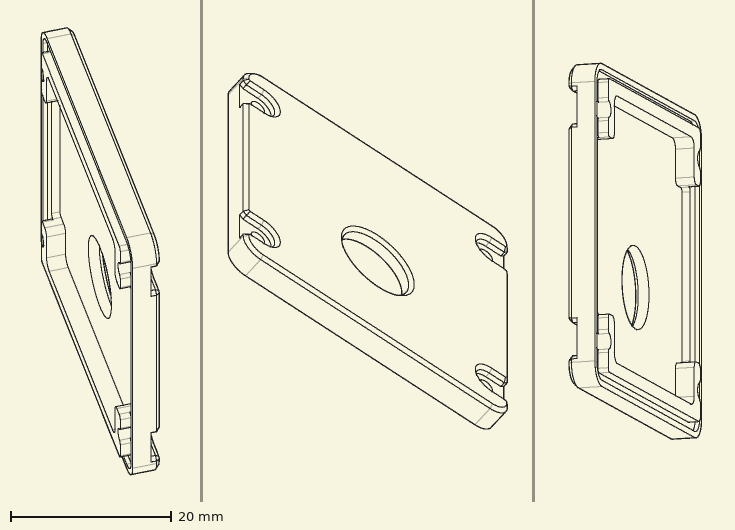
import cadquery as cq
length = 41.8
height = 41.0
total_depth = 4.4
corner_radius = 2.75
edge_chamfer = 0.5

rim_width = 0.8
recess_below_rim = 0.6
ledge_above_rim = 0.8
ledge_half_length = 18.0
ledge_half_height = 18.65
ledge_outer_radius = 0.5
pocket_half_length = 15.65
pocket_half_height = 16.95
pocket_below_rim = 1.67
pocket_corner_radius = 1.2

tab_end_z = 11.25
tab_tip_radius = 0.85
wide_pocket_half_length = 18.2
wide_pocket_corner_radius = 0.5

window_radius = 5.25
window_z = -4.6
screw_x = ledge_half_length
screw_z = 14.7
screw_radius = 1.05
screw_head_radius = 2.1
screw_head_depth = 1.2
mouth_flare = 0.5

front_y = -total_depth / 2
back_y = total_depth / 2
rim_y = front_y + ledge_above_rim
recess_y = rim_y + recess_below_rim
pocket_y = rim_y + pocket_below_rim

half_length = length / 2
selection_margin = 0.05
signs = (-1, 1)
corners = [(side, end) for side in signs for end in signs]


def xz_plane(y):
    """Work plane facing -Y at the given Y level."""
    return cq.Workplane("XZ", origin=(0, y, 0))


def block(half_x, half_z, y_start, y_end, center_z=0):
    """Rectangular block centred on X, between two Y levels."""
    return xz_plane(y_end).center(0, center_z).rect(2 * half_x, 2 * half_z).extrude(y_end - y_start)


def rounded_block(half_x, half_z, y_start, y_end, radius):
    """Block centred on the part, with its four edges along Y rounded."""
    return block(half_x, half_z, y_start, y_end).edges("|Y").fillet(radius)


def pin(radius, x, z, y_start, y_end):
    """Round pin along Y between two Y levels."""
    return xz_plane(y_end).center(x, z).circle(radius).extrude(y_end - y_start)


def screw_head_slot(side, z):
    """Round-ended slot in the back face, open at the plate's side through a flared mouth."""
    flare_x = side * (half_length - mouth_flare)
    mouth_x = side * half_length
    center_x = side * screw_x
    round_end_x = side * (screw_x - screw_head_radius)
    mouth_half_width = screw_head_radius + mouth_flare
    return (
        xz_plane(back_y)
        .moveTo(center_x, z + screw_head_radius)
        .lineTo(flare_x, z + screw_head_radius)
        .lineTo(mouth_x, z + mouth_half_width)
        .lineTo(mouth_x, z - mouth_half_width)
        .lineTo(flare_x, z - screw_head_radius)
        .lineTo(center_x, z - screw_head_radius)
        .threePointArc((round_end_x, z), (center_x, z + screw_head_radius))
        .close()
        .extrude(screw_head_depth)
    )


def ledge(end):
    """C-shaped ledge along the top (end = 1) or bottom (end = -1), notched round the screws."""
    middle_z = end * (ledge_half_height + tab_end_z) / 2
    half_z = (ledge_half_height - tab_end_z) / 2
    body = block(ledge_half_length, half_z, front_y, pocket_y, middle_z)
    for side in signs:
        body = body.cut(pin(screw_radius, side * screw_x, end * screw_z, front_y, pocket_y))
    body = body.edges("|Y").fillet(ledge_outer_radius)
    body = body.cut(
        rounded_block(pocket_half_length, pocket_half_height, front_y, pocket_y, pocket_corner_radius)
    )
    inner_tab_tips = cq.selectors.BoxSelector(
        (-pocket_half_length - selection_margin, front_y, end * tab_end_z - selection_margin),
        (pocket_half_length + selection_margin, pocket_y, end * tab_end_z + selection_margin),
    )
    return body.edges("|Y").edges(inner_tab_tips).fillet(tab_tip_radius)


plate = rounded_block(half_length, height / 2, rim_y, back_y, corner_radius)
plate = plate.cut(pin(window_radius, 0, window_z, rim_y, back_y))
for side, end in corners:
    plate = plate.cut(screw_head_slot(side, end * screw_z))
plate = plate.faces(">Y").edges().chamfer(edge_chamfer)

recess_half_length = half_length - rim_width
recess_half_height = height / 2 - rim_width
recess_radius = corner_radius - rim_width
plate = plate.cut(rounded_block(recess_half_length, recess_half_height, rim_y, recess_y, recess_radius))

cleared_half_length = pocket_half_length + tab_tip_radius
plate = plate.cut(block(cleared_half_length, pocket_half_height, rim_y, pocket_y))
plate = plate.cut(
    rounded_block(wide_pocket_half_length, tab_end_z, rim_y, pocket_y, wide_pocket_corner_radius)
)
for end in signs:
    plate = plate.union(ledge(end))

for side, end in corners:
    plate = plate.cut(pin(screw_radius, side * screw_x, end * screw_z, recess_y, back_y))

result = plate